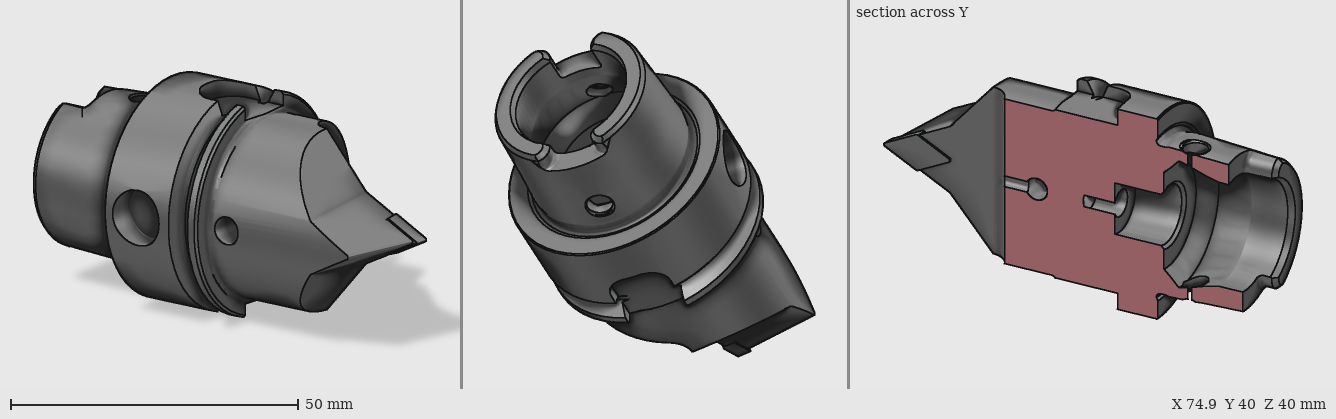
import cadquery as cq
import math

TOOL_LENGTH = 74.9

SHANK_END_R = 13.6
SHANK_CHAMFER = 0.9
TAPER_START_R = 14.2
TAPER_END_R = 15.05
TAPER_END_X = 17.8
RELIEF_R = 29.7 / 2
RELIEF_START_X = 18.65

FLANGE_R = 40.0 / 2
FLANGE_X = 20.0
FLANGE_END_X = 39.85
FLANGE_EDGE = 0.2
FACE_GROOVE_X = 20.3
FACE_GROOVE_INNER_R = 15.7
FACE_GROOVE_OUTER_R = 16.3
GRIP_LEFT_X = 33.85
GRIP_RIGHT_X = 38.0
GRIP_FLOOR_R = 17.2
GRIP_FLOOR_LEFT_X = 35.4
GRIP_FLOOR_RIGHT_X = 36.4
GRIP_LEFT_FOOT = (34.75, 17.9)
RIM_CHAMFER = 0.45

HEAD_R = 33.0 / 2
HEAD_FILLET = 1.05
HEAD_FLAT_Y = -0.4
SLOPE_TOP_X = 46.3
SLOPE_ANGLE = 15.0
SLOPE_FILLET = 3.75
SHOULDER_X = 53.7
NECK_END_X = 52.8
CORNER_X = 62.15
CORNER_Z = 6.6
SHOULDER_RELIEF = 6.0
NOSE_RELIEF = 6.7
NOSE_R = 0.45
CORNER_FILLET = 1.0

INSERT_ANGLE = 55.0
INSERT_SIDE = 7.8
INSERT_THICKNESS = 2.4
INSERT_NOSE_R = 0.4
INSERT_CLEARANCE = 7.0

BORE_R = 21.0 / 2
BORE_CHAMFER = 0.5
BORE_CHAMFER_LENGTH = 1.2
CLAMP_R = 25.5 / 2
CLAMP_START_X = 8.25
CLAMP_END_X = 15.9
BORE_FLOOR_R = 9.8
TUBE_R = 11.0 / 2
TUBE_CHAMFER = 0.6
TUBE_END_X = 28.45
DRILL_R = 5.0 / 2
DRILL_END_X = 34.45
DRILL_POINT_ANGLE = 118.0

SLOT_HALF_WIDTH = 3.9
SLOT_LIP_Z = 12.9
SLOT_LIP_R = 2.55
SLOT_LIP_SLOPE = 20.0
SLOT_FLOOR_FILLET = 0.9
SLOT_MOUTH_CHAMFER = 0.9
SLOT_DEPTH_TOP = 6.15
SLOT_DEPTH_BOTTOM = 3.4

ACCESS_X = 13.8
ACCESS_R = 4.6 / 2
ACCESS_SINK_R = 5.55 / 2

KEYWAY_START_X = 27.85
KEYWAY_HALF_WIDTH = 5.55
KEYWAY_CORNER_R = 4.2
KEYWAY_FLOOR_Z = 16.7

POCKET_X = 26.8
POCKET_R = 10.0 / 2
POCKET_FLOOR_Y = -14.8
POCKET_FLOOR_FILLET = 0.2
PORT_X = 43.8
PORT_R = 4.2 / 2
PORT_COUNTERBORE_R = 5.0 / 2
PORT_COUNTERBORE_FLOOR_Y = -9.0
PORT_RIM_Y = 2.25
CHANNEL_R = 2.0 / 2
CHANNEL_START_X = 44.8


def tan(angle):
    return math.tan(math.radians(angle))


def sin(angle):
    return math.sin(math.radians(angle))


def cos(angle):
    return math.cos(math.radians(angle))


def revolve_about_x(profile):
    return profile.close().revolve(360, (0, 0, 0), (1, 0, 0))


def make_shank_and_flange():
    fillet_r = FACE_GROOVE_INNER_R - RELIEF_R
    profile = (
        cq.Workplane("XY")
        .moveTo(0, 0)
        .lineTo(0, SHANK_END_R)
        .lineTo(SHANK_CHAMFER, TAPER_START_R)
        .lineTo(TAPER_END_X, TAPER_END_R)
        .lineTo(RELIEF_START_X, RELIEF_R)
        .lineTo(FACE_GROOVE_X - fillet_r, RELIEF_R)
        .tangentArcPoint((FACE_GROOVE_X, FACE_GROOVE_INNER_R), relative=False)
        .lineTo(FLANGE_X, FACE_GROOVE_OUTER_R)
        .lineTo(FLANGE_X, FLANGE_R - FLANGE_EDGE)
        .lineTo(FLANGE_X + FLANGE_EDGE, FLANGE_R)
        .lineTo(GRIP_LEFT_X, FLANGE_R)
        .lineTo(*GRIP_LEFT_FOOT)
        .tangentArcPoint((GRIP_FLOOR_LEFT_X, GRIP_FLOOR_R), relative=False)
        .lineTo(GRIP_FLOOR_RIGHT_X, GRIP_FLOOR_R)
        .lineTo(GRIP_RIGHT_X, FLANGE_R)
        .lineTo(FLANGE_END_X - RIM_CHAMFER, FLANGE_R)
        .lineTo(FLANGE_END_X, FLANGE_R - RIM_CHAMFER)
        .lineTo(FLANGE_END_X, HEAD_R + HEAD_FILLET)
        .tangentArcPoint((FLANGE_END_X + HEAD_FILLET, HEAD_R), relative=False)
        .lineTo(FLANGE_END_X + HEAD_FILLET, 0)
    )
    return revolve_about_x(profile)


def make_flank_wedge(half_angle, relief):
    """Triangular prism below Y = 0 with flanks through the head corners, leaning in by relief."""
    apex_x = CORNER_X + CORNER_Z / tan(half_angle)
    length = apex_x - FLANGE_X
    half_width = length * tan(half_angle)
    return (
        cq.Workplane("XZ")
        .polyline([(apex_x, 0), (FLANGE_X, half_width), (FLANGE_X, -half_width)])
        .close()
        .extrude(HEAD_R, taper=relief)
    )


def make_bar(start_x, end_x):
    return cq.Workplane("YZ", origin=(start_x, 0, 0)).circle(HEAD_R).extrude(end_x - start_x)


def make_head():
    shoulder_angle = math.degrees(math.atan2(HEAD_R - CORNER_Z, CORNER_X - SHOULDER_X))
    shoulder = make_flank_wedge(shoulder_angle, SHOULDER_RELIEF)
    nose = make_flank_wedge(INSERT_ANGLE / 2, NOSE_RELIEF)
    point = shoulder.union(nose).intersect(make_bar(NECK_END_X, TOOL_LENGTH))
    mid_y = -HEAD_R / 2
    shift = -mid_y * tan(NOSE_RELIEF)
    nose_edge = cq.selectors.NearestToPointSelector((TOOL_LENGTH, mid_y, 0))
    point = point.edges(nose_edge).fillet(NOSE_R)
    for side in (1, -1):
        corner_edge = cq.selectors.NearestToPointSelector((CORNER_X - shift / 2, mid_y, side * (CORNER_Z - shift)))
        point = point.edges(corner_edge).fillet(CORNER_FILLET)
    neck = make_bar(FLANGE_END_X, NECK_END_X)
    return neck.union(point).cut(make_chip_space())


def make_chip_space():
    """Space above the head flat, bounded by the sloped end of the neck and its root fillet."""
    foot_x = SLOPE_TOP_X + (HEAD_R - HEAD_FLAT_Y) * tan(SLOPE_ANGLE)
    top_y = 2 * HEAD_R
    top_x = foot_x - (top_y - HEAD_FLAT_Y) * tan(SLOPE_ANGLE)
    space = (
        cq.Workplane("XY", origin=(0, 0, -2 * HEAD_R))
        .polyline([
            (top_x, top_y),
            (foot_x, HEAD_FLAT_Y),
            (2 * TOOL_LENGTH, HEAD_FLAT_Y),
            (2 * TOOL_LENGTH, top_y),
        ])
        .close()
        .extrude(4 * HEAD_R)
    )
    root_edge = cq.selectors.NearestToPointSelector((foot_x, HEAD_FLAT_Y, 0))
    return space.edges(root_edge).fillet(SLOPE_FILLET)


def make_insert():
    """Rhombic plate with its rake face on Y = 0 and one nose at the tool tip."""
    half_angle = INSERT_ANGLE / 2
    center_x = TOOL_LENGTH - INSERT_SIDE * cos(half_angle) + INSERT_NOSE_R * (1 / sin(half_angle) - 1)
    core_side = INSERT_SIDE - 2 * INSERT_NOSE_R / sin(INSERT_ANGLE)
    half_length = core_side * cos(half_angle)
    half_width = core_side * sin(half_angle)
    return (
        cq.Workplane("XZ", origin=(center_x, 0, 0))
        .polyline([(half_length, 0), (0, half_width), (-half_length, 0), (0, -half_width)])
        .close()
        .offset2D(INSERT_NOSE_R)
        .extrude(INSERT_THICKNESS, taper=INSERT_CLEARANCE)
    )


def make_axial_bore():
    """Clamping bore with a wider undercut, tube seat and pointed drill hole."""
    floor_x = CLAMP_END_X + CLAMP_R - BORE_FLOOR_R
    drill_point = DRILL_R / tan(DRILL_POINT_ANGLE / 2)
    profile = (
        cq.Workplane("XY")
        .moveTo(0, 0)
        .lineTo(0, BORE_R + BORE_CHAMFER)
        .lineTo(BORE_CHAMFER_LENGTH, BORE_R)
        .lineTo(CLAMP_START_X, BORE_R)
        .lineTo(CLAMP_END_X, CLAMP_R)
        .lineTo(floor_x, BORE_FLOOR_R)
        .lineTo(floor_x, TUBE_R + TUBE_CHAMFER)
        .lineTo(floor_x + TUBE_CHAMFER, TUBE_R)
        .lineTo(TUBE_END_X, TUBE_R)
        .lineTo(TUBE_END_X, DRILL_R)
        .lineTo(DRILL_END_X, DRILL_R)
        .lineTo(DRILL_END_X + drill_point, 0)
    )
    return revolve_about_x(profile)


def draw_drive_slot():
    """Cross-section of a drive slot: parallel walls, rounded lips and sloping outer shoulders."""
    lip_center_y = SLOT_HALF_WIDTH + SLOT_LIP_R
    lip_center_z = SLOT_LIP_Z - SLOT_LIP_R
    arc_offset = SLOT_LIP_R * cos(45)
    arc_mid = (lip_center_y - arc_offset, lip_center_z + arc_offset)
    outer_lip_z = SLOT_LIP_Z - (FLANGE_R - lip_center_y) * tan(SLOT_LIP_SLOPE)
    return (
        cq.Workplane("YZ")
        .moveTo(0, 0)
        .lineTo(SLOT_HALF_WIDTH, 0)
        .lineTo(SLOT_HALF_WIDTH, lip_center_z)
        .threePointArc(arc_mid, (lip_center_y, SLOT_LIP_Z))
        .lineTo(FLANGE_R, outer_lip_z)
        .lineTo(FLANGE_R, FLANGE_R)
        .lineTo(0, FLANGE_R)
        .mirrorY()
    )


def place_on_side(tool, side):
    """Leave a tool made for +Z in place for side +1, turn it to -Z for side -1."""
    return tool if side > 0 else tool.rotate((0, 0, 0), (1, 0, 0), 180)


def make_drive_slot(depth):
    return draw_drive_slot().extrude(depth).faces(">X").edges().fillet(SLOT_FLOOR_FILLET)


def make_slot_mouth():
    """Chamfer around a drive slot where it opens on the shank end."""
    return draw_drive_slot().offset2D(SLOT_MOUTH_CHAMFER).extrude(SLOT_MOUTH_CHAMFER, taper=45)


def make_access_hole():
    sink_depth = ACCESS_SINK_R - ACCESS_R
    surface_z = TAPER_START_R + (TAPER_END_R - TAPER_START_R) * ACCESS_X / TAPER_END_X
    drill = cq.Workplane("XY", origin=(ACCESS_X, 0, 0)).circle(ACCESS_R).extrude(FLANGE_R)
    sink = (
        cq.Workplane("XY", origin=(ACCESS_X, 0, surface_z))
        .circle(ACCESS_SINK_R)
        .extrude(-sink_depth, taper=45)
    )
    return drill.union(sink)


def make_keyway():
    length = FLANGE_END_X + HEAD_FILLET - KEYWAY_START_X
    return (
        cq.Workplane("XY", origin=(KEYWAY_START_X, 0, KEYWAY_FLOOR_Z))
        .box(length, 2 * KEYWAY_HALF_WIDTH, FLANGE_R, centered=(False, True, False))
        .edges("|Z and <X")
        .fillet(KEYWAY_CORNER_R)
    )


def make_round_pocket():
    return (
        cq.Workplane("XZ", origin=(POCKET_X, POCKET_FLOOR_Y, 0))
        .circle(POCKET_R)
        .extrude(FLANGE_R)
        .faces(">Y")
        .edges()
        .fillet(POCKET_FLOOR_FILLET)
    )


def make_coolant_port():
    """Counterbored port drilled from -Y, met at its rim by a channel that leaves through the slope."""
    port_point = PORT_R / tan(DRILL_POINT_ANGLE / 2)
    port = (
        cq.Workplane("XY")
        .moveTo(PORT_X, -FLANGE_R)
        .lineTo(PORT_X + PORT_COUNTERBORE_R, -FLANGE_R)
        .lineTo(PORT_X + PORT_COUNTERBORE_R, PORT_COUNTERBORE_FLOOR_Y)
        .lineTo(PORT_X + PORT_R, PORT_COUNTERBORE_FLOOR_Y)
        .lineTo(PORT_X + PORT_R, PORT_RIM_Y)
        .lineTo(PORT_X, PORT_RIM_Y + port_point)
        .close()
        .revolve(360, (PORT_X, 0, 0), (PORT_X, 1, 0))
    )
    channel = (
        cq.Workplane("YZ", origin=(CHANNEL_START_X, PORT_RIM_Y, 0))
        .circle(CHANNEL_R)
        .extrude(CORNER_X - CHANNEL_START_X)
    )
    return port.union(channel)


def make_holder(insert):
    holder = make_shank_and_flange().union(make_head())
    holder = holder.cut(make_axial_bore())
    for side, depth in ((1, SLOT_DEPTH_TOP), (-1, SLOT_DEPTH_BOTTOM)):
        for tool in (make_drive_slot(depth), make_slot_mouth(), make_access_hole(), make_keyway()):
            holder = holder.cut(place_on_side(tool, side))
    holder = holder.cut(make_round_pocket())
    holder = holder.cut(make_coolant_port())
    return holder.cut(insert)


insert = make_insert()
holder = make_holder(insert)

result = cq.Compound.makeCompound([holder.val(), insert.val()])